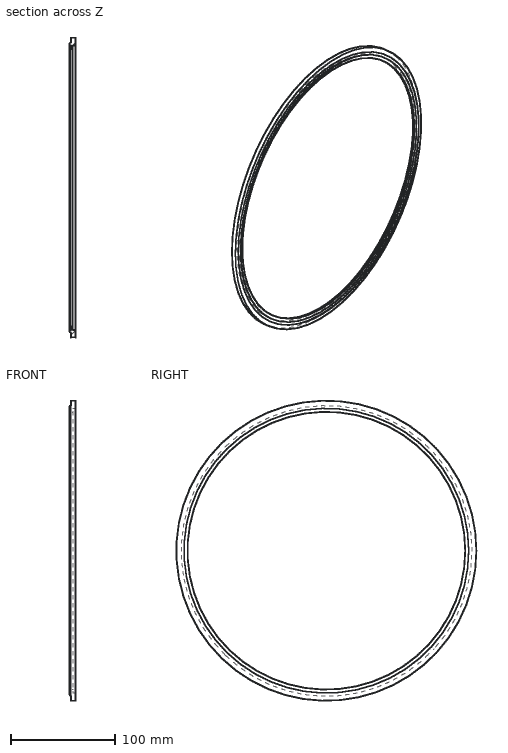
import cadquery as cq

outer_radius = 144.0
lip_inner_radius = 133.0
total_thickness = 5.8
lip_thickness = 1.7
lip_rise = 0.05
bead_radius = 1.5
bead_centre_radius = 138.0

back_x = total_thickness / 2
face_x = -total_thickness / 2 + bead_radius
lip_back_x = face_x + lip_thickness
bead_inner_radius = bead_centre_radius - bead_radius
bead_outer_radius = bead_centre_radius + bead_radius
rebate_radius = bead_inner_radius

profile = (
    cq.Workplane("XY")
    .moveTo(face_x - lip_rise, lip_inner_radius)
    .lineTo(face_x, bead_inner_radius)
    .threePointArc((face_x - bead_radius, bead_centre_radius), (face_x, bead_outer_radius))
    .lineTo(face_x, outer_radius)
    .lineTo(back_x, outer_radius)
    .lineTo(back_x, rebate_radius)
    .lineTo(lip_back_x, rebate_radius)
    .lineTo(lip_back_x, lip_inner_radius)
    .close()
)

result = profile.revolve(360, (0, 0, 0), (1, 0, 0))